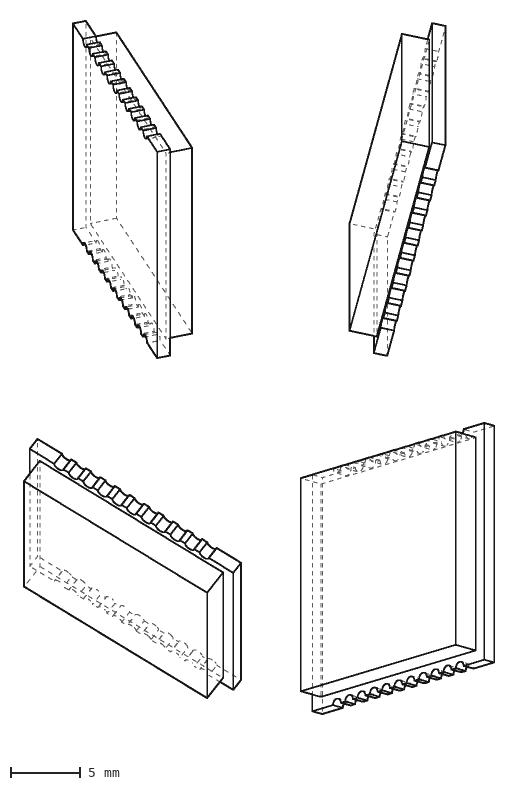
import cadquery as cq

board_side = 17.78
board_thickness = 1.0

total_depth = 3.0
can_side = 16.0
can_depth = total_depth - board_thickness

notch_count = 11
notch_row_length = 12.7
notch_pitch = notch_row_length / (notch_count - 1)
notch_diameter = 0.8


def block(side, depth, front_y):
    """Square block centred in X and Z, running back from front_y."""
    return cq.Workplane("XY").box(side, depth, side).translate((0, front_y + depth / 2, 0))


def edge_notches():
    """Cylinders along Y, centred on the top and bottom board edges."""
    first_x = -notch_row_length / 2
    centres = [
        (first_x + index * notch_pitch, edge_z)
        for index in range(notch_count)
        for edge_z in (-board_side / 2, board_side / 2)
    ]
    return cq.Workplane("XZ").pushPoints(centres).circle(notch_diameter / 2).extrude(-board_thickness)


board = block(board_side, board_thickness, 0).cut(edge_notches())
can = block(can_side, can_depth, board_thickness)

result = board.union(can)